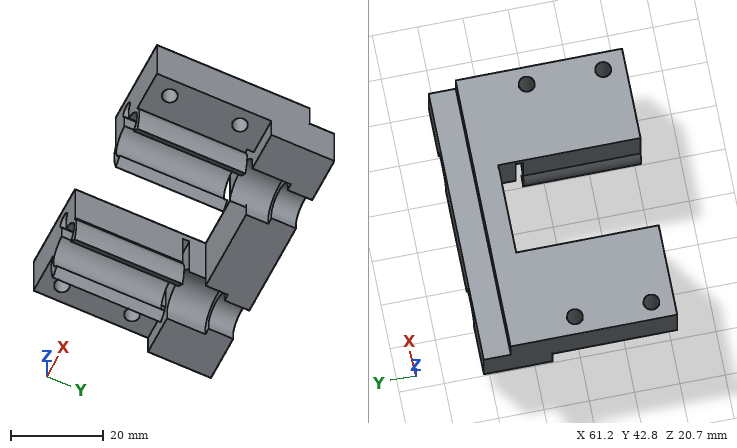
import cadquery as cq
import math


body_width = 61.2
body_depth = 42.75
bar_front = 27.55
bar_bottom = -17.7
arm_bottom = -11.95
step_front = 36.8
step_top = -6.35

window_width = 20.1
window_depth = 31.5

hole_diameter = 3.4
hole_spacing_x = 53.5
hole_rows = (4.95, 21.85)

clip_spacing = 31.15
clip_length = 25.95
clip_center_z = -15.25
clip_outer_radius = 6.25
bore_center_z = -14.95
clip_bore_radius = 5.15
clip_bottom = -20.7
leg_tip_half_width = 5.4

keyhole_diameter = 3.4
keyhole_center_z = -4.8
keyhole_slot_width = 2.2

relief_top = -2.1

pocket_radius = 5.6
pocket_top = -9.75
pocket_end = step_front
channel_radius = 4.0
channel_top = arm_bottom

clip_centers = (-clip_spacing / 2, clip_spacing / 2)


def box(x_min, x_max, y_min, y_max, z_min, z_max):
    """Box given by its limits along each axis."""
    size = (x_max - x_min, y_max - y_min, z_max - z_min)
    return cq.Workplane("XY").box(*size, centered=False).translate((x_min, y_min, z_min))


def profile_plane(x, y=0):
    """Plane of constant Y whose local axes are +X and +Z; extrude(-d) goes toward +Y."""
    return cq.Workplane("XZ", origin=(x, y, 0))


def make_body():
    """Side profile across the full width, opened by the window between the arms."""
    profile = [
        (0, 0),
        (step_front, 0),
        (step_front, step_top),
        (body_depth, step_top),
        (body_depth, bar_bottom),
        (bar_front, bar_bottom),
        (bar_front, arm_bottom),
        (0, arm_bottom),
    ]
    body = cq.Workplane("YZ").polyline(profile).close().extrude(body_width / 2, both=True)
    half_window = window_width / 2
    return body.cut(box(-half_window, half_window, 0, window_depth, bar_bottom, 0))


def make_clip(x):
    """Round-topped clip with converging legs, whose tips are cut at 45 degrees by a V mouth."""
    diagonal = clip_outer_radius * math.sin(math.radians(45))
    mouth_apex_z = clip_bottom + leg_tip_half_width
    return (
        profile_plane(x)
        .moveTo(0, clip_center_z + clip_outer_radius)
        .threePointArc((diagonal, clip_center_z + diagonal), (clip_outer_radius, clip_center_z))
        .tangentArcPoint((leg_tip_half_width, clip_bottom), relative=False)
        .lineTo(0, mouth_apex_z)
        .mirrorY()
        .extrude(-clip_length)
    )


def make_bore(x):
    """Round seat inside the clip, open at the mouth."""
    return profile_plane(x).center(0, bore_center_z).circle(clip_bore_radius).extrude(-clip_length)


def make_keyhole(x):
    """Round hole joined to the clip bore by a narrow slot."""
    half_slot = keyhole_slot_width / 2
    hole = profile_plane(x).center(0, keyhole_center_z).circle(keyhole_diameter / 2).extrude(-clip_length)
    slot = box(x - half_slot, x + half_slot, 0, clip_length, bore_center_z, keyhole_center_z)
    return hole.union(slot)


def make_relief(x):
    """Gap between clip and crossbar, running from the window to the outer edge of the clip."""
    inner = math.copysign(window_width / 2, x)
    outer = x + math.copysign(clip_outer_radius, x)
    return box(min(inner, outer), max(inner, outer), clip_length, bar_front, arm_bottom, relief_top)


def make_arch(x, radius, top, y_min, y_max):
    """Round-topped passage with straight sides, open at the underside of the crossbar."""
    center_z = top - radius
    return (
        profile_plane(x, y_min)
        .moveTo(-radius, bar_bottom)
        .lineTo(-radius, center_z)
        .threePointArc((0, top), (radius, center_z))
        .lineTo(radius, bar_bottom)
        .close()
        .extrude(y_min - y_max)
    )


result = make_body()

for clip_x in clip_centers:
    result = result.union(make_clip(clip_x))
    result = result.cut(make_bore(clip_x))
    result = result.cut(make_keyhole(clip_x))
    result = result.cut(make_relief(clip_x))
    result = result.cut(make_arch(clip_x, pocket_radius, pocket_top, bar_front, pocket_end))
    result = result.cut(make_arch(clip_x, channel_radius, channel_top, bar_front, body_depth))

hole_points = [(side * hole_spacing_x / 2, y) for side in (-1, 1) for y in hole_rows]
screw_holes = cq.Workplane("XY").pushPoints(hole_points).circle(hole_diameter / 2).extrude(arm_bottom)
result = result.cut(screw_holes)